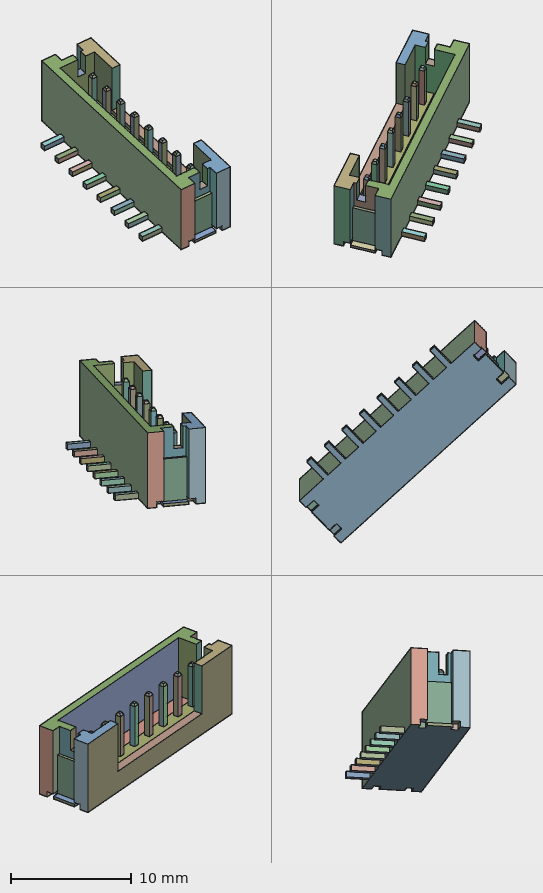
import cadquery as cq

length = 19.95
depth = 5.0
height = 6.6

end_wall = 1.64
back_wall = 0.8
front_wall = 0.72
rear_floor_height = 1.6
slope_start = 2.45
slope_end = 3.05
front_floor_height = rear_floor_height - (slope_end - slope_start)

window_margin = 4.17
window_sill = 2.0

slot_back = 1.7
slot_front = 2.47
slot_bottom = 4.7

recess_back = 1.44
recess_front = 3.61
recess_depth = 0.9
tab_thickness = 0.25
tab_height = 3.97
foot_inset = 0.05
relief_back = 0.84
relief_front = 4.2
relief_height = 0.5

pin_count = 8
pin_span = 14.0
pin_width = 0.5
pin_setback = 1.92
pin_top = 5.67
tip_height = 0.22
tip_width = 0.28
lead_length = 2.0

half_length = length / 2
pin_pitch = pin_span / (pin_count - 1)


def block(x_range, y_range, z_range):
    """Box between pairs of limits; Y limits are distances forward of the back face."""
    (x0, x1), (y0, y1), (z0, z1) = x_range, y_range, z_range
    box = cq.Workplane("XY").box(x1 - x0, y1 - y0, z1 - z0, centered=False)
    return box.translate((x0, -y1, z0))


def both_ends(shape):
    """The shape together with its mirror image at the other end of the housing."""
    return shape.union(shape.mirror("YZ"))


def make_cavity():
    """Cavity whose floor slopes down from the contacts to the front wall."""
    cavity_front = depth - front_wall
    profile = [
        (-back_wall, rear_floor_height),
        (-slope_start, rear_floor_height),
        (-slope_end, front_floor_height),
        (-cavity_front, front_floor_height),
        (-cavity_front, height),
        (-back_wall, height),
    ]
    cavity_length = length - 2 * end_wall
    return cq.Workplane("YZ").polyline(profile).close().extrude(cavity_length / 2, both=True)


def make_end_cuts():
    """Keying slot, tab recess and solder foot relief, at both ends."""
    slot = block((-half_length, -half_length + end_wall), (slot_back, slot_front), (slot_bottom, height))
    recess_x = (-half_length, -half_length + recess_depth)
    recess = block(recess_x, (recess_back, recess_front), (0, height))
    relief = block(recess_x, (relief_back, relief_front), (0, relief_height))
    return both_ends(slot.union(recess).union(relief))


def make_housing():
    half_window = half_length - window_margin
    window = block((-half_window, half_window), (0, back_wall), (window_sill, height))
    housing = block((-half_length, half_length), (0, depth), (0, height))
    return housing.cut(make_cavity()).cut(window).cut(make_end_cuts())


def make_solder_tabs():
    """Upright plate on each recess floor with a foot turned outward at the bottom."""
    plate_inner = -half_length + recess_depth
    tab_y = (recess_back, recess_front)
    plate = block((plate_inner - tab_thickness, plate_inner), tab_y, (0, tab_height))
    foot = block((-half_length + foot_inset, plate_inner), tab_y, (0, tab_thickness))
    return both_ends(plate.union(foot))


def make_contact():
    """Upright square pin with a tapered tip, and a lead running out under the front wall."""
    pin_x = (-pin_width / 2, pin_width / 2)
    shoulder = pin_top - tip_height
    pin_back = pin_setback - pin_width / 2
    post = block(pin_x, (pin_back, pin_back + pin_width), (0, shoulder))
    tip = (
        cq.Workplane("XY", origin=(0, -pin_setback, shoulder))
        .rect(pin_width, pin_width)
        .workplane(offset=tip_height)
        .rect(tip_width, tip_width)
        .loft()
    )
    lead = block(pin_x, (pin_back, depth + lead_length), (0, pin_width))
    return post.union(tip).union(lead)


result = make_housing().union(make_solder_tabs())
contact = make_contact()
for index in range(pin_count):
    result = result.union(contact.translate((index * pin_pitch - pin_span / 2, 0, 0)))